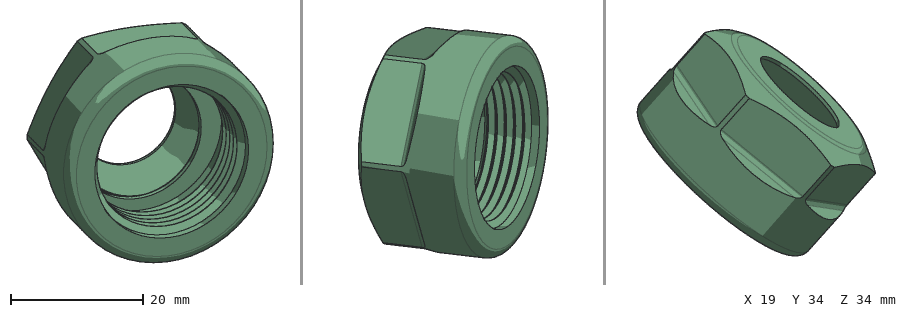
import cadquery as cq
import math

cutter_clearance = 1.0
quarter_arc_middle = math.radians(45)

length = 19.0
outer_radius = 17.0
rear_edge_radius = 1.5

across_flats = 29.85
flat_count = 6
flat_length = 8.8
long_flat_length = 9.6
long_flat_index = 1
runout_fillet = 1.0
runout_angle = math.radians(60)

nose_face_radius = 13.0
nose_angle = math.radians(30)
nose_blend_radius = 2.0

bore_radius = 7.85
bore_lip_length = 0.55
taper_end_radius = 11.0
taper_end = 5.5
taper_angle = math.atan2(taper_end_radius - bore_radius, taper_end - bore_lip_length)
taper_blend_radius = 0.2

ring_front = taper_end + taper_blend_radius * (1 + math.sin(taper_angle))
ring_back = 6.95
ring_bore_radius = 10.15
ring_edge_radius = 0.2
ring_offset_y = -0.65
ring_offset_z = -0.65

relief_radius = 12.8
relief_end = 9.85
thread_pitch = 1.5
thread_major_radius = 12.5
thread_minor_radius = 11.4
first_crest = 11.0
crest_width = 0.1
flank_angle = math.radians(30)


def revolve_about_x(profile):
    """Revolve a closed (x, radius) profile around the X axis."""
    return profile.close().revolve(360, (0, 0, 0), (1, 0, 0))


def make_blank():
    """Turned body with the nose chamfer and the rounded rear edge."""
    nose_depth = (outer_radius - nose_face_radius) * math.tan(nose_angle)
    blend_reach = nose_blend_radius * math.tan(nose_angle / 2)
    blend_start_radius = nose_face_radius - blend_reach
    blend_end = (
        blend_reach * math.sin(nose_angle),
        nose_face_radius + blend_reach * math.cos(nose_angle),
    )
    blend_middle = (
        nose_blend_radius * (1 - math.cos(nose_angle / 2)),
        blend_start_radius + nose_blend_radius * math.sin(nose_angle / 2),
    )
    rear_inset = rear_edge_radius * (1 - math.cos(quarter_arc_middle))
    rear_middle = (length - rear_inset, outer_radius - rear_inset)
    profile = (
        cq.Workplane("XY")
        .moveTo(0, 0)
        .lineTo(0, blend_start_radius)
        .threePointArc(blend_middle, blend_end)
        .lineTo(nose_depth, outer_radius)
        .lineTo(length - rear_edge_radius, outer_radius)
        .threePointArc(rear_middle, (length, outer_radius - rear_edge_radius))
        .lineTo(length, 0)
    )
    return revolve_about_x(profile)


def make_flat_cutter(reach):
    """Prism that mills the +Z wrench flat and its filleted, sloped runout."""
    flat_height = across_flats / 2
    top = outer_radius + cutter_clearance
    fillet_end = (
        reach + runout_fillet * math.sin(runout_angle),
        flat_height + runout_fillet * (1 - math.cos(runout_angle)),
    )
    fillet_middle = (
        reach + runout_fillet * math.sin(runout_angle / 2),
        flat_height + runout_fillet * (1 - math.cos(runout_angle / 2)),
    )
    runout_end = fillet_end[0] + (top - fillet_end[1]) / math.tan(runout_angle)
    return (
        cq.Workplane("XZ")
        .moveTo(-cutter_clearance, flat_height)
        .lineTo(reach, flat_height)
        .threePointArc(fillet_middle, fillet_end)
        .lineTo(runout_end, top)
        .lineTo(-cutter_clearance, top)
        .close()
        .extrude(outer_radius, both=True)
    )


def cut_hexagon(body):
    """Mill the six flats, stepping from +Z toward +Y."""
    for index in range(flat_count):
        angle = -index * 360 / flat_count
        reach = long_flat_length if index == long_flat_index else flat_length
        cutter = make_flat_cutter(reach)
        body = body.cut(cutter.rotate((0, 0, 0), (1, 0, 0), angle))
    return body


def make_taper_cutter():
    """Front bore and collet taper, blended into the face of the eccentric ring."""
    blend_center = (
        taper_end + taper_blend_radius * math.sin(taper_angle),
        taper_end_radius - taper_blend_radius * math.cos(taper_angle),
    )
    blend_middle_angle = (math.pi / 2 + taper_angle) / 2
    blend_middle = (
        blend_center[0] + taper_blend_radius * math.cos(blend_middle_angle),
        blend_center[1] + taper_blend_radius * math.sin(blend_middle_angle),
    )
    profile = (
        cq.Workplane("XY")
        .moveTo(0, 0)
        .lineTo(0, bore_radius)
        .lineTo(bore_lip_length, bore_radius)
        .lineTo(taper_end, taper_end_radius)
        .threePointArc(blend_middle, (ring_front, blend_center[1]))
        .lineTo(ring_front, 0)
    )
    return revolve_about_x(profile)


def make_ring_cutter():
    """Eccentric bore with a rounded front edge."""
    edge_inset = ring_edge_radius * (1 - math.cos(quarter_arc_middle))
    profile = (
        cq.Workplane("XY")
        .moveTo(ring_front, 0)
        .lineTo(ring_front, ring_bore_radius + ring_edge_radius)
        .threePointArc(
            (ring_front + edge_inset, ring_bore_radius + edge_inset),
            (ring_front + ring_edge_radius, ring_bore_radius),
        )
        .lineTo(ring_back, ring_bore_radius)
        .lineTo(ring_back, 0)
    )
    return revolve_about_x(profile).translate((0, ring_offset_y, ring_offset_z))


def make_thread_cutter():
    """Undercut, its tapered end, and evenly pitched thread grooves to the rear face."""
    flank_run = (thread_major_radius - thread_minor_radius) * math.tan(flank_angle)
    first_crest_front = first_crest - crest_width / 2
    profile = (
        cq.Workplane("XY")
        .moveTo(ring_back, 0)
        .lineTo(ring_back, relief_radius)
        .lineTo(relief_end, relief_radius)
        .lineTo(first_crest_front - flank_run, thread_major_radius)
    )
    crest_count = int((length - first_crest) / thread_pitch)
    for index in range(crest_count):
        crest_front = first_crest_front + index * thread_pitch
        crest_back = crest_front + crest_width
        next_root = crest_front + thread_pitch - flank_run
        profile = (
            profile.lineTo(crest_front, thread_minor_radius)
            .lineTo(crest_back, thread_minor_radius)
            .lineTo(crest_back + flank_run, thread_major_radius)
            .lineTo(next_root, thread_major_radius)
        )
    profile = profile.lineTo(length, thread_major_radius).lineTo(length, 0)
    return revolve_about_x(profile)


result = cut_hexagon(make_blank())
result = result.cut(make_taper_cutter())
result = result.cut(make_ring_cutter())
result = result.cut(make_thread_cutter())